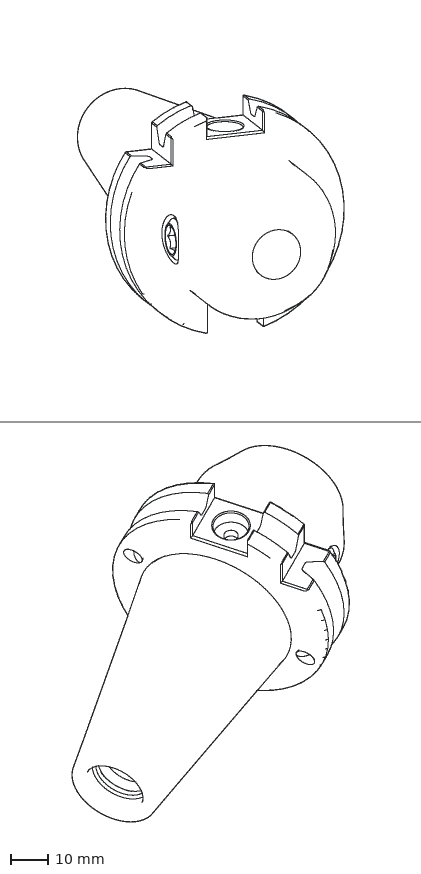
import cadquery as cq
import math

LENGTH = 118.4

TAPER_END_X = 68.9
TAPER_END_RADIUS = 22.4
TAPER_SLOPE = 7 / 48
SMALL_END_FILLET = 1.0

RELIEF_RADIUS = 21.8
RELIEF_RAMP = 1.1
RELIEF_FILLET = 0.5

FLANGE_RADIUS = 31.7
FLANGE_X0 = 71.5
FLANGE_X1 = 87.5
FLANGE_FILLET = 1.0
NECK_FILLET = 1.7

V_X = (FLANGE_X0 + FLANGE_X1) / 2
V_DEPTH = 3.5
V_HALF_WIDTH = 3.5
V_HALF_ANGLE = 30.0
V_FILLET = 1.0

SHANK_RADIUS = 22.0
NOSE_X = 105.5
NOSE_ANGLE = 25.0
NOSE_SHOULDER_FILLET = 3.0
NOSE_END_FILLET = 2.4

BORE_RADIUS = 7.0
ENTRY_RADIUS = 8.4
ENTRY_DEPTH = 5.3
ENTRY_FILLET = 1.1
LIP_RADIUS = 7.7
LIP_END_X = 7.6
UNDERCUT_RADIUS = 9.2
UNDERCUT_END_X = 8.8
UNDERCUT_CHAMFER = 1.0
BORE_CONE_ANGLE = 60.0

SLOT_WIDTH = 16.1
TOP_SLOT_FLOOR = 25.0
BOTTOM_SLOT_FLOOR = 22.5
NOTCH_CORNER = 18.4
END_BREAK_LENGTH = 0.6
WALL_BREAK = 0.4
TOP_FLOOR_BREAK = 0.6
SLOT_BEVEL = 0.4
NOTCH_BEVEL = 0.2

POCKET_RADIUS = 4.9
POCKET_CHAMFER = 0.4
POCKET_DEPTH = 4.1
PILOT_RADIUS = 1.95
PILOT_DEPTH = 2.4
DRILL_POINT_ANGLE = 118.0

COOLANT_RADIUS = 2.2
COOLANT_PITCH_RADIUS = 27.0
COOLANT_ANGLE = 20.0
COOLANT_TILT = 36.0
COOLANT_DEPTH = 1.8

SCREW_X = 95.8
SCREW_RADIUS = 5.7
SCREW_TIP_Y = 5.9
SCREW_HEAD_Y = 21.9
SCREW_CHAMFER = 1.3
HEX_ACROSS_FLATS = 6.0
HEX_DEPTH = 5.9
HEX_CHAMFER = 0.5
RIM_HALF_X = 6.3
RIM_HALF_Z = 7.7
RIM_DEPTH = 2.1
BALANCE_X = 97.2
BALANCE_RADIUS = 6.6
BALANCE_DEPTH = 4.7


def revolve(points):
    """Solid of revolution about X of an outline given as (x, radius) points."""
    return cq.Workplane("XZ").polyline(points).close().revolve(360, (0, 0, 0), (1, 0, 0))


def circle_edge(x, radius):
    """Filter that picks the circular edges at one place along X with one radius."""

    def matches(edge):
        if edge.geomType() != "CIRCLE":
            return False
        return abs(edge.Center().x - x) < 0.01 and abs(edge.radius() - radius) < 0.01

    return matches


def y_cylinder(x, radius, y0, y1):
    """Cylinder parallel to Y between two places along Y."""
    low = min(y0, y1)
    return cq.Workplane("XZ", origin=(x, low, 0)).circle(radius).extrude(-abs(y1 - y0))


def make_blank():
    """Turned outside of the holder, with its fillets."""
    small_end_radius = TAPER_END_RADIUS - TAPER_END_X * TAPER_SLOPE
    relief_x = TAPER_END_X + RELIEF_RAMP
    nose_end_radius = SHANK_RADIUS - (LENGTH - NOSE_X) * math.tan(math.radians(NOSE_ANGLE))
    v_floor_radius = FLANGE_RADIUS - V_DEPTH
    v_floor_half = V_HALF_WIDTH - V_DEPTH * math.tan(math.radians(V_HALF_ANGLE))
    blank = revolve([
        (0, 0),
        (0, small_end_radius),
        (TAPER_END_X, TAPER_END_RADIUS),
        (relief_x, RELIEF_RADIUS),
        (FLANGE_X0, RELIEF_RADIUS),
        (FLANGE_X0, FLANGE_RADIUS),
        (V_X - V_HALF_WIDTH, FLANGE_RADIUS),
        (V_X - v_floor_half, v_floor_radius),
        (V_X + v_floor_half, v_floor_radius),
        (V_X + V_HALF_WIDTH, FLANGE_RADIUS),
        (FLANGE_X1, FLANGE_RADIUS),
        (FLANGE_X1, SHANK_RADIUS),
        (NOSE_X, SHANK_RADIUS),
        (LENGTH, nose_end_radius),
        (LENGTH, 0),
    ])
    fillets = [
        (0, small_end_radius, SMALL_END_FILLET),
        (relief_x, RELIEF_RADIUS, RELIEF_FILLET),
        (FLANGE_X0, RELIEF_RADIUS, RELIEF_FILLET),
        (FLANGE_X0, FLANGE_RADIUS, FLANGE_FILLET),
        (V_X - v_floor_half, v_floor_radius, V_FILLET),
        (V_X + v_floor_half, v_floor_radius, V_FILLET),
        (FLANGE_X1, FLANGE_RADIUS, FLANGE_FILLET),
        (FLANGE_X1, SHANK_RADIUS, NECK_FILLET),
        (NOSE_X, SHANK_RADIUS, NOSE_SHOULDER_FILLET),
        (LENGTH, nose_end_radius, NOSE_END_FILLET),
    ]
    for x, radius, size in fillets:
        blank = blank.edges().filter(circle_edge(x, radius)).fillet(size)
    return blank


def bore_cutter():
    """Stepped through bore: rounded entry, narrower lip, undercut and plain bore."""
    lip_x = ENTRY_DEPTH + ENTRY_RADIUS - LIP_RADIUS
    cone_x = UNDERCUT_END_X + UNDERCUT_CHAMFER
    cone_radius = UNDERCUT_RADIUS - UNDERCUT_CHAMFER
    bore_x = cone_x + (cone_radius - BORE_RADIUS) / math.tan(math.radians(BORE_CONE_ANGLE))
    round_offset = ENTRY_FILLET * (1 - math.sqrt(0.5))
    return (
        cq.Workplane("XZ")
        .lineTo(0, ENTRY_RADIUS + ENTRY_FILLET)
        .threePointArc((round_offset, ENTRY_RADIUS + round_offset), (ENTRY_FILLET, ENTRY_RADIUS))
        .lineTo(ENTRY_DEPTH, ENTRY_RADIUS)
        .lineTo(lip_x, LIP_RADIUS)
        .lineTo(LIP_END_X, LIP_RADIUS)
        .lineTo(LIP_END_X, UNDERCUT_RADIUS)
        .lineTo(UNDERCUT_END_X, UNDERCUT_RADIUS)
        .lineTo(cone_x, cone_radius)
        .lineTo(bore_x, BORE_RADIUS)
        .lineTo(LENGTH, BORE_RADIUS)
        .lineTo(LENGTH, 0)
        .close()
        .revolve(360, (0, 0, 0), (1, 0, 0))
    )


def yz_rectangle(x, y0, y1, z0, z1):
    """Rectangular wire square to X."""
    corners = [cq.Vector(x, y0, z0), cq.Vector(x, y1, z0), cq.Vector(x, y1, z1), cq.Vector(x, y0, z1)]
    return cq.Wire.makePolygon(corners, close=True)


def flared_slot(y0, y1, floor, floor_break):
    """Slot through the flange above a floor; its walls and floor flare out at both flange faces."""
    top = FLANGE_RADIUS + 1.2
    inner = (y0, y1, floor, top)
    outer = (y0 - WALL_BREAK, y1 + WALL_BREAK, floor - floor_break, top)
    sections = [
        (FLANGE_X0, outer),
        (FLANGE_X0 + END_BREAK_LENGTH, inner),
        (FLANGE_X1 - END_BREAK_LENGTH, inner),
        (FLANGE_X1, outer),
    ]
    wires = [yz_rectangle(x, *bounds) for x, bounds in sections]
    return cq.Workplane(cq.Solid.makeLoft(wires, True))


def bottom_slot():
    """Plain slot below the axis that runs on through the neck fillet."""
    slot_length = FLANGE_X1 + NECK_FILLET - FLANGE_X0
    floor_centre = (FLANGE_X0 + slot_length / 2, 0, -BOTTOM_SLOT_FLOOR)
    return cq.Workplane("XY", origin=floor_centre).rect(slot_length, SLOT_WIDTH).extrude(-FLANGE_RADIUS)


def rim_wedge(wall, side, size):
    """Prism that bevels the flange rim at a slot wall at Y = `wall`; `side` is +1 or -1, the metal's side."""
    rim = cq.Vector(0, wall, math.sqrt(FLANGE_RADIUS**2 - wall**2))
    outward = rim.normalized()
    along_rim = cq.Vector(0, outward.z, -outward.y) * side
    bevel_end = rim + along_rim * size
    clear_end = bevel_end + outward * size
    corners = [
        (rim.y, rim.z - size),
        (bevel_end.y, bevel_end.z),
        (clear_end.y, clear_end.z),
        (rim.y, rim.z + size),
    ]
    prism = cq.Workplane("YZ", origin=(FLANGE_X0, 0, 0)).polyline(corners).close()
    return prism.extrude(FLANGE_X1 - FLANGE_X0)


def slot_cutters():
    """Drive slots at the top and bottom and the notch in the upper -Y corner of the flange."""
    half = SLOT_WIDTH / 2
    cutters = [
        flared_slot(-half, half, TOP_SLOT_FLOOR, TOP_FLOOR_BREAK),
        bottom_slot(),
        flared_slot(-FLANGE_RADIUS - 1.2, -NOTCH_CORNER, NOTCH_CORNER, WALL_BREAK),
    ]
    slot_bevel = rim_wedge(half, 1, SLOT_BEVEL)
    for bevel in (slot_bevel, slot_bevel.mirror("XZ")):
        cutters += [bevel, bevel.mirror("XY")]
    notch_bevel = rim_wedge(NOTCH_CORNER, -1, NOTCH_BEVEL)
    cutters += [notch_bevel.mirror("XZ"), notch_bevel.rotate((0, 0, 0), (1, 0, 0), 90)]
    return cutters


def pocket_cutter():
    """Chip pocket in the top slot with a drilled hole in its floor."""
    point_height = PILOT_RADIUS / math.tan(math.radians(DRILL_POINT_ANGLE / 2))
    floor = TOP_SLOT_FLOOR - POCKET_DEPTH
    return (
        cq.Workplane("XZ")
        .polyline([
            (0, TOP_SLOT_FLOOR),
            (POCKET_RADIUS + POCKET_CHAMFER, TOP_SLOT_FLOOR),
            (POCKET_RADIUS, TOP_SLOT_FLOOR - POCKET_CHAMFER),
            (POCKET_RADIUS, floor),
            (PILOT_RADIUS, floor),
            (PILOT_RADIUS, floor - PILOT_DEPTH),
            (0, floor - PILOT_DEPTH - point_height),
        ])
        .close()
        .revolve(360, (0, 0, 0), (0, 1, 0))
        .translate((V_X, 0, 0))
    )


def coolant_cutter(angle):
    """Blind hole in the flange face that leans towards the tool axis."""
    tilt = math.radians(COOLANT_TILT)
    direction = cq.Vector(math.cos(tilt), -math.sin(tilt), 0)
    mouth = cq.Vector(FLANGE_X0, COOLANT_PITCH_RADIUS, 0)
    lead = 2 * COOLANT_RADIUS
    hole = cq.Solid.makeCylinder(COOLANT_RADIUS, COOLANT_DEPTH + lead, mouth - direction * lead, direction)
    return cq.Workplane(hole.rotate(cq.Vector(0, 0, 0), cq.Vector(1, 0, 0), angle))


def screw_hole_cutter():
    """Screw hole from the -Y side into the bore, with an oval countersunk rim."""
    hole = y_cylinder(SCREW_X, SCREW_RADIUS, 0, -SHANK_RADIUS)
    rim = (
        cq.Workplane("XZ", origin=(SCREW_X, -SHANK_RADIUS, 0))
        .ellipse(RIM_HALF_X, RIM_HALF_Z)
        .workplane(offset=-RIM_DEPTH)
        .circle(SCREW_RADIUS)
        .loft()
    )
    return hole.union(rim)


def make_holder():
    """Tool holder with every cut made in its turned blank."""
    holder = make_blank().cut(bore_cutter())
    for cutter in slot_cutters():
        holder = holder.cut(cutter)
    holder = holder.cut(pocket_cutter())
    for angle in (COOLANT_ANGLE, COOLANT_ANGLE + 180):
        holder = holder.cut(coolant_cutter(angle))
    holder = holder.cut(screw_hole_cutter())
    return holder.cut(y_cylinder(BALANCE_X, BALANCE_RADIUS, SHANK_RADIUS - BALANCE_DEPTH, SHANK_RADIUS))


def make_screw():
    """Clamping screw with a chamfered head and a countersunk hexagon socket."""
    screw = y_cylinder(SCREW_X, SCREW_RADIUS, -SCREW_TIP_Y, -SCREW_HEAD_Y)
    screw = screw.faces("<Y").chamfer(SCREW_CHAMFER)
    across_corners = HEX_ACROSS_FLATS / math.cos(math.radians(30))
    head = cq.Workplane("XZ", origin=(SCREW_X, -SCREW_HEAD_Y, 0))
    socket = head.polygon(6, across_corners).extrude(-HEX_DEPTH)
    mouth_radius = across_corners / 2 + HEX_CHAMFER
    countersink = cq.Solid.makeCone(
        mouth_radius, 0, mouth_radius, cq.Vector(SCREW_X, -SCREW_HEAD_Y, 0), cq.Vector(0, 1, 0)
    )
    return screw.cut(socket).cut(cq.Workplane(countersink))


holder = make_holder()
screw = make_screw()
result = cq.Compound.makeCompound([holder.val(), screw.val()])